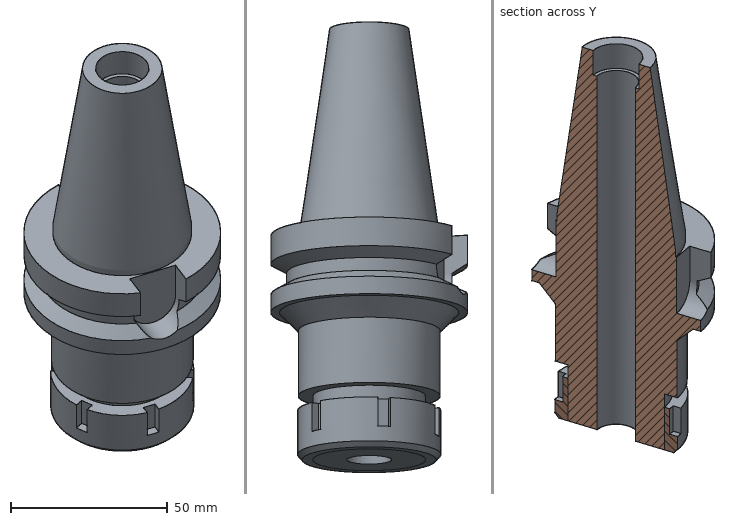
import cadquery as cq
import math

total_height = 140.4

taper_length = 65.3
gauge_diameter = 44.5
taper_ratio = 7 / 24
gauge_band_height = 2.1
flange_diameter = 63.0
flange_height = 25.0
flange_chamfer_diameter = 57.4
shank_diameter = 45.5
shank_bottom = 20.8
neck_diameter = 36.1

groove_center = 58.7
groove_floor_diameter = 53.1
groove_floor_height = 4.2
groove_side_angle = 30

drive_slot_width = 16.1
drive_slot_bottom = 52.2
drive_slot_floor_distance = 22.6

counterbore_diameter = 17.0
counterbore_depth = 9.1
bore_diameter = 14.3

nut_diameter = 45.9
nut_height = 16.0
nut_chamfer_height = 1.7
nut_chamfer_width = 1.5
wrench_slot_count = 6
wrench_slot_width = 4.1
wrench_slot_depth = 3.0
wrench_slot_height = 9.4

taper_bottom = total_height - taper_length
flange_top = taper_bottom - gauge_band_height
flange_bottom = flange_top - flange_height


def revolve_profile(points):
    """Revolve (radius, height) points around the Z axis."""
    return cq.Workplane("XZ").polyline(points).close().revolve(360, (0, 0, 0), (0, 1, 0))


def cylinder(diameter, bottom, height):
    """Upright cylinder on the Z axis."""
    return cq.Workplane("XY").workplane(offset=bottom).circle(diameter / 2).extrude(height)


def make_drive_slot():
    """Cutter for the drive slot on the -X side: round bottom, open at the flange top."""
    half_width = drive_slot_width / 2
    arc_center = drive_slot_bottom + half_width
    return (
        cq.Workplane("YZ")
        .workplane(offset=-flange_diameter)
        .moveTo(-half_width, flange_top)
        .lineTo(-half_width, arc_center)
        .threePointArc((0, drive_slot_bottom), (half_width, arc_center))
        .lineTo(half_width, flange_top)
        .close()
        .extrude(flange_diameter - drive_slot_floor_distance)
    )


def make_holder():
    """Taper, grooved flange, shank and neck, bored through along the axis."""
    gauge_radius = gauge_diameter / 2
    taper_top_radius = gauge_radius - taper_length * taper_ratio / 2
    flange_radius = flange_diameter / 2
    chamfer_radius = flange_chamfer_diameter / 2
    shank_radius = shank_diameter / 2
    neck_radius = neck_diameter / 2
    chamfer_bottom = flange_bottom - (chamfer_radius - shank_radius)

    groove_radius = groove_floor_diameter / 2
    groove_half_floor = groove_floor_height / 2
    groove_side_rise = (flange_radius - groove_radius) * math.tan(math.radians(groove_side_angle))
    groove_half_mouth = groove_half_floor + groove_side_rise

    holder = revolve_profile([
        (0, 0),
        (neck_radius, 0),
        (neck_radius, shank_bottom),
        (shank_radius, shank_bottom),
        (shank_radius, chamfer_bottom),
        (chamfer_radius, flange_bottom),
        (flange_radius, flange_bottom),
        (flange_radius, groove_center - groove_half_mouth),
        (groove_radius, groove_center - groove_half_floor),
        (groove_radius, groove_center + groove_half_floor),
        (flange_radius, groove_center + groove_half_mouth),
        (flange_radius, flange_top),
        (gauge_radius, flange_top),
        (gauge_radius, taper_bottom),
        (taper_top_radius, total_height),
        (0, total_height),
    ])

    drive_slot = make_drive_slot()
    holder = holder.cut(drive_slot).cut(drive_slot.mirror("YZ"))

    counterbore_bottom = total_height - counterbore_depth
    holder = holder.cut(cylinder(counterbore_diameter, counterbore_bottom, counterbore_depth))
    return holder.cut(cylinder(bore_diameter, 0, total_height))


def make_nut():
    """Chamfered ring with wrench slots that are open at its top face."""
    nut_radius = nut_diameter / 2
    neck_radius = neck_diameter / 2
    nut = revolve_profile([
        (neck_radius, 0),
        (nut_radius - nut_chamfer_width, 0),
        (nut_radius, nut_chamfer_height),
        (nut_radius, nut_height),
        (neck_radius, nut_height),
    ])

    slot = (
        cq.Workplane("XY")
        .workplane(offset=nut_height - wrench_slot_height)
        .center(nut_radius, 0)
        .rect(2 * wrench_slot_depth, wrench_slot_width)
        .extrude(wrench_slot_height)
    )
    for index in range(wrench_slot_count):
        nut = nut.cut(slot.rotate((0, 0, 0), (0, 0, 1), index * 360 / wrench_slot_count))
    return nut


holder = make_holder()
nut = make_nut()

result = cq.Compound.makeCompound([holder.val(), nut.val()])